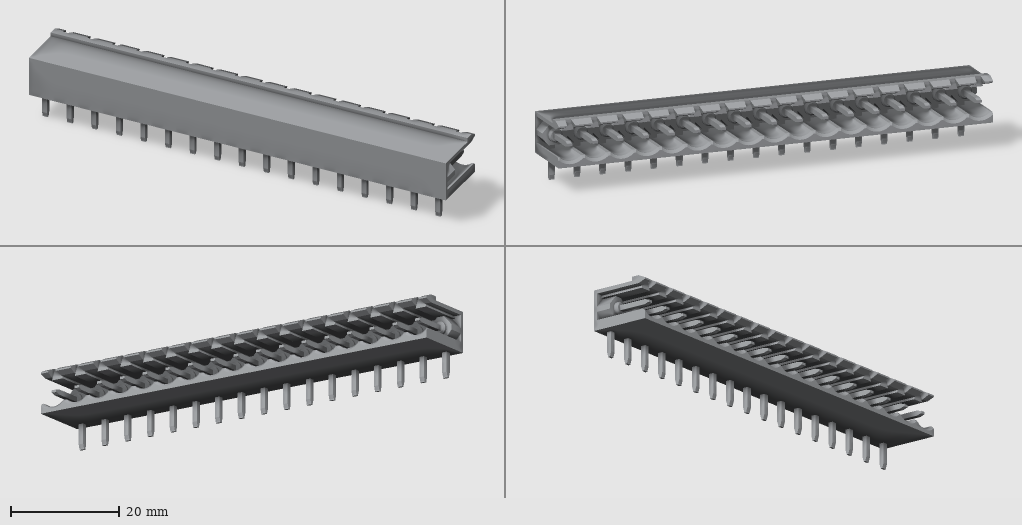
import cadquery as cq

length = 86.25
depth = 12.0
overall_height = 13.6
pin_tail_length = 4.9
lip_height = overall_height - pin_tail_length

pin_count = 17
pitch = 5.08
first_pin_x = (length - (pin_count - 1) * pitch) / 2

back_wall = 0.75
floor_top = 2.0
floor_chamfer = 0.5
roof_top = 7.9
roof_underside = 7.15
lip_back_y = 8.9
lip_crest_y = 10.5
lip_tip_top = 8.0
lip_tip_bottom = 7.7
roof_bevel_y = 10.5

pin_size = 1.0
pin_tip_size = 0.5
pin_taper = 0.8
pin_tip_land = 0.2
pin_axis_z = 4.1
pin_tip_y = 11.35
tail_axis_y = 2.0

boss_front_y = 3.8
boss_width = 2 * first_pin_x
boss_top = 6.5
boss_bottom = 2.2
boss_flank_run_per_rise = 0.9
collar_front_y = 4.55
collar_diameter = 2.7
collar_chamfer = 0.3

rib_underside = 6.65
rib_front_y = 10.2
dovetail_crest_width = 1.15
dovetail_side_slope = 0.3

trough_radius = 3.0

embed_y = back_wall / 2
embed_z = (roof_top + roof_underside) / 2


def make_housing():
    """C-shaped extrusion, open to +Y, with a snap lip on the roof."""
    return (
        cq.Workplane("YZ")
        .moveTo(0, 0)
        .lineTo(depth, 0)
        .lineTo(depth, floor_top - floor_chamfer)
        .lineTo(depth - floor_chamfer, floor_top)
        .lineTo(back_wall, floor_top)
        .lineTo(back_wall, roof_underside)
        .lineTo(roof_bevel_y, roof_underside)
        .lineTo(depth, lip_tip_bottom)
        .lineTo(depth, lip_tip_top)
        .lineTo(lip_crest_y, lip_height)
        .lineTo(lip_back_y, lip_height)
        .lineTo(lip_back_y, roof_top)
        .lineTo(0, roof_top)
        .close()
        .extrude(length)
    )


def along_y(y_start):
    """Sketch plane at y_start with local axes (X, Z); a negative extrusion runs towards +Y."""
    return cq.Workplane("XZ", origin=(0, y_start, 0))


def dovetail(x, z_bottom, z_top, y_start, y_end):
    """Bar along Y that widens downwards from the lip crest width."""
    def half_width(z):
        return dovetail_crest_width / 2 + dovetail_side_slope * (lip_height - z)

    outline = [
        (x - half_width(z_bottom), z_bottom),
        (x + half_width(z_bottom), z_bottom),
        (x + half_width(z_top), z_top),
        (x - half_width(z_top), z_top),
    ]
    return along_y(y_start).polyline(outline).close().extrude(y_start - y_end)


def make_rib(x):
    return dovetail(x, rib_underside, embed_z, embed_y, rib_front_y)


def make_lip_notch(x):
    return dovetail(x, rib_underside, lip_height, rib_front_y, depth)


def make_trough(x):
    """Cylindrical trough in the floor, concentric with the pin and countersunk at its mouth."""
    trough_length = depth - back_wall
    cylinder = along_y(back_wall).center(x, pin_axis_z).circle(trough_radius).extrude(-trough_length)
    mouth = (
        along_y(depth).center(x, pin_axis_z).circle(trough_radius + floor_chamfer)
        .workplane(offset=floor_chamfer).circle(trough_radius).loft()
    )
    below_pin = cq.Workplane("XY").box(length, depth, pin_axis_z, centered=False)
    return cylinder.union(mouth).intersect(below_pin)


def make_boss(x):
    """Eight-cornered block with upright sides, sloped above and below the pin, plus a round collar."""
    flank_top = pin_axis_z + pin_size / 2
    flank_bottom = pin_axis_z - pin_size / 2
    half_width = boss_width / 2
    half_top = half_width - boss_flank_run_per_rise * (boss_top - flank_top)
    half_bottom = half_width - boss_flank_run_per_rise * (flank_bottom - boss_bottom)
    outline = [
        (x - half_width, flank_bottom),
        (x - half_bottom, boss_bottom),
        (x + half_bottom, boss_bottom),
        (x + half_width, flank_bottom),
        (x + half_width, flank_top),
        (x + half_top, boss_top),
        (x - half_top, boss_top),
        (x - half_width, flank_top),
    ]
    block = along_y(embed_y).polyline(outline).close().extrude(embed_y - boss_front_y)
    collar = (
        along_y(embed_y).center(x, pin_axis_z).circle(collar_diameter / 2).extrude(embed_y - collar_front_y)
        .faces(">Y").chamfer(collar_chamfer)
    )
    return block.union(collar)


def make_pin(x):
    """Right-angle pin whose two ends taper in the YZ plane."""
    half = pin_size / 2
    half_tip = pin_tip_size / 2
    tail_end_z = -pin_tail_length
    front_land_y = pin_tip_y - pin_tip_land
    front_taper_y = front_land_y - pin_taper
    tail_land_z = tail_end_z + pin_tip_land
    tail_taper_z = tail_land_z + pin_taper
    outline = [
        (tail_axis_y - half, pin_axis_z + half),
        (front_taper_y, pin_axis_z + half),
        (front_land_y, pin_axis_z + half_tip),
        (pin_tip_y, pin_axis_z + half_tip),
        (pin_tip_y, pin_axis_z - half_tip),
        (front_land_y, pin_axis_z - half_tip),
        (front_taper_y, pin_axis_z - half),
        (tail_axis_y + half, pin_axis_z - half),
        (tail_axis_y + half, tail_taper_z),
        (tail_axis_y + half_tip, tail_land_z),
        (tail_axis_y + half_tip, tail_end_z),
        (tail_axis_y - half_tip, tail_end_z),
        (tail_axis_y - half_tip, tail_land_z),
        (tail_axis_y - half, tail_taper_z),
    ]
    plane = cq.Workplane("YZ", origin=(x - half, 0, 0))
    return plane.polyline(outline).close().extrude(pin_size)


def make_each(feature):
    """Copies of a feature at every pin position, as a list of solids."""
    return [feature(first_pin_x + i * pitch).val() for i in range(pin_count)]


def add_each(body, feature):
    return cq.Workplane(body.val().fuse(*make_each(feature)))


def cut_each(body, feature):
    return cq.Workplane(body.val().cut(*make_each(feature)))


result = make_housing()
result = add_each(result, make_rib)
result = cut_each(result, make_trough)
result = cut_each(result, make_lip_notch)
result = add_each(result, make_boss)
result = add_each(result, make_pin).clean().solids()